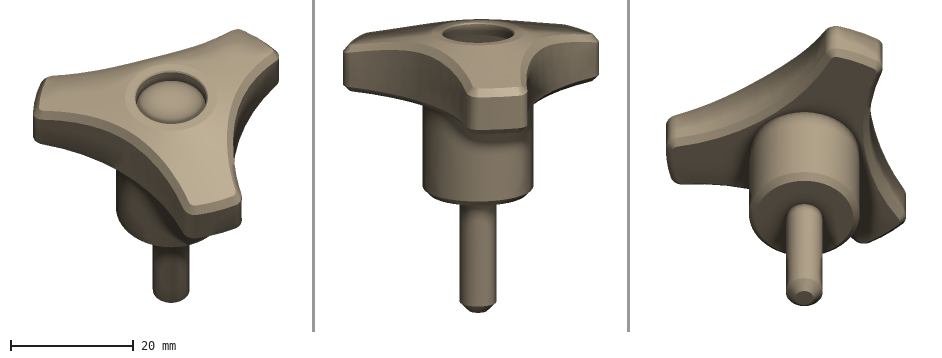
import cadquery as cq

handle_height = 11.0
lobe_count = 3
first_flank_angle = -90.0
lobe_radius = 22.5
flank_radius = 33.0
flank_distance = 10.85
lobe_corner_radius = 2.0
handle_chamfer = 1.0
crown_flat_diameter = 15.0
crown_edge_drop = 3.5

recess_diameter = 12.0
recess_floor_diameter = 11.2
recess_chamfer = 0.2
recess_depth = 2.0

hub_diameter = 18.0
hub_length = 16.0
hub_chamfer = 1.0
pin_diameter = 6.0
pin_length = 20.0
pin_chamfer = 1.5

hub_bottom_z = pin_length
handle_bottom_z = hub_bottom_z + hub_length
handle_top_z = handle_bottom_z + handle_height
lobe_edge_z = handle_top_z - crown_edge_drop


def make_crown_envelope():
    """Solid of revolution bounded by the lobe ends and the conical crown."""
    profile = (
        cq.Workplane("XZ")
        .moveTo(0, handle_bottom_z)
        .lineTo(lobe_radius, handle_bottom_z)
        .lineTo(lobe_radius, lobe_edge_z)
        .lineTo(crown_flat_diameter / 2, handle_top_z)
        .lineTo(0, handle_top_z)
        .close()
    )
    return profile.revolve(360, (0, 0, 0), (0, 1, 0))


def make_handle():
    """Cut the flanks from the envelope, round the corners and chamfer the rims."""
    flank_cutters = (
        cq.Workplane("XY", origin=(0, 0, handle_bottom_z))
        .polarArray(flank_distance + flank_radius, first_flank_angle, 360, lobe_count)
        .circle(flank_radius)
        .extrude(handle_height)
    )
    handle = make_crown_envelope().cut(flank_cutters)
    handle = handle.edges("|Z").fillet(lobe_corner_radius)
    crown_rim = handle.faces("%CONE").edges("not(>Z)")
    handle = crown_rim.chamfer(handle_chamfer)
    return handle.faces("<Z").chamfer(handle_chamfer)


def make_hub():
    hub = cq.Workplane("XY", origin=(0, 0, hub_bottom_z)).circle(hub_diameter / 2).extrude(hub_length)
    return hub.faces("<Z").chamfer(hub_chamfer)


def make_pin():
    pin = cq.Workplane("XY").circle(pin_diameter / 2).extrude(pin_length)
    return pin.faces("<Z").chamfer(pin_chamfer)


def make_recess():
    """Blind recess with a tapered wall and a small chamfer at its mouth."""
    profile = (
        cq.Workplane("XZ")
        .moveTo(0, handle_top_z - recess_depth)
        .lineTo(recess_floor_diameter / 2, handle_top_z - recess_depth)
        .lineTo(recess_diameter / 2 - recess_chamfer, handle_top_z - recess_chamfer)
        .lineTo(recess_diameter / 2, handle_top_z)
        .lineTo(0, handle_top_z)
        .close()
    )
    return profile.revolve(360, (0, 0, 0), (0, 1, 0))


result = make_handle().union(make_hub()).union(make_pin()).cut(make_recess())